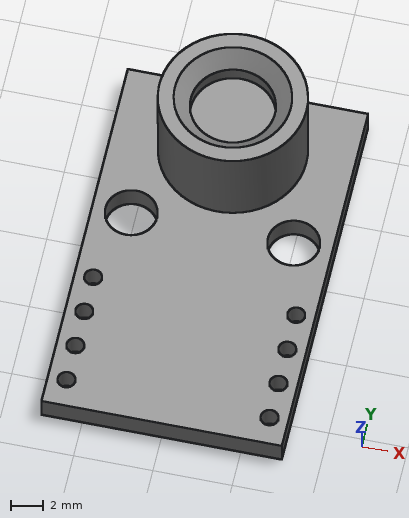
import cadquery as cq

board_width = 15.16
board_length = 24.7
board_thickness = 1.6

barrel_diameter = 9.26
barrel_height = 6.0
barrel_overhang = 0.33
barrel_y = board_length / 2 + barrel_overhang - barrel_diameter / 2

mouth_diameter = 7.3
bore_diameter = 5.3
mouth_depth = 1.0
bore_depth = 1.0

mount_hole_diameter = 3.25
mount_hole_x = 5.12
mount_hole_y = 2.2

pin_hole_diameter = 1.1
pin_pitch = 2.54
pins_per_row = 4
pin_row_x = 6.4
first_pin_y = -10.5


def make_board():
    return cq.Workplane("XY").box(
        board_width, board_length, board_thickness, centered=(True, True, False)
    )


def make_barrel():
    """Barrel standing on the board, revolved from its half section."""
    outer_radius = barrel_diameter / 2
    bore_radius = bore_diameter / 2
    top_z = barrel_height
    bore_top_z = top_z - mouth_depth
    floor_z = bore_top_z - bore_depth
    profile = (
        cq.Workplane("XZ")
        .moveTo(0, 0)
        .lineTo(outer_radius, 0)
        .lineTo(outer_radius, top_z)
        .lineTo(mouth_diameter / 2, top_z)
        .lineTo(bore_radius, bore_top_z)
        .lineTo(bore_radius, floor_z)
        .lineTo(0, floor_z)
        .close()
    )
    barrel = profile.revolve(360, (0, 0, 0), (0, 1, 0))
    return barrel.translate((0, barrel_y, board_thickness))


def drill_through(body, centres, diameter):
    """Cut round holes through the board at the given centres."""
    drills = cq.Workplane("XY").pushPoints(centres).circle(diameter / 2).extrude(board_thickness)
    return body.cut(drills)


mount_centres = [(side * mount_hole_x, mount_hole_y) for side in (-1, 1)]
pin_centres = [
    (side * pin_row_x, first_pin_y + index * pin_pitch)
    for side in (-1, 1)
    for index in range(pins_per_row)
]

board = drill_through(make_board(), mount_centres, mount_hole_diameter)
board = drill_through(board, pin_centres, pin_hole_diameter)
result = board.union(make_barrel())